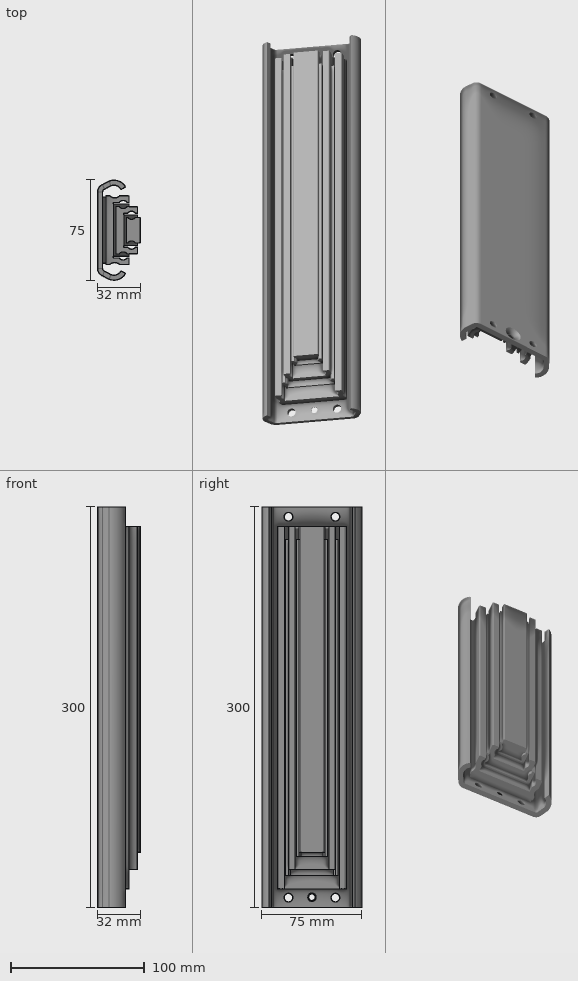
import cadquery as cq
import math

COVER_LENGTH = 300.0
COVER_WIDTH = 75.0
SHEET = 4.0
BACK_WIDTH = 57.3
BEND_RADIUS = 6.0
LIP_RADIUS = 10.0
LIP_CENTER_X = 12.3
BACK_NORMAL = 180.0
SHOULDER_NORMAL = 112.0
LIP_END_ANGLE = 28.0

CORNER_HOLE_DIAMETER = 6.3
CORNER_HOLE_SPACING = 35.0
CORNER_HOLE_END_DISTANCE = 7.5
SCREW_HOLE_DIAMETER = 4.8
SCREW_HOLE_HEIGHT = 7.8
COUNTERSINK_DIAMETER = 13.2
COUNTERSINK_FLOOR_DIAMETER = 6.3
COUNTERSINK_DEPTH = (COUNTERSINK_DIAMETER - COUNTERSINK_FLOOR_DIAMETER) / 2

RAIL_TOP = 285.3
OUTER_BACK, OUTER_FRONT = 6.3, 23.7
OUTER_WIDTH = 51.5
OUTER_BOTTOM = 14.0
MIDDLE_BACK, MIDDLE_FRONT = 13.8, 30.0
MIDDLE_WIDTH = 35.5
MIDDLE_BOTTOM = 28.5
INNER_BACK, INNER_FRONT = 21.5, 32.0
INNER_WIDTH = 19.2
INNER_BOTTOM = 41.5
RAIL_FILLET = 1.0

SPACER_WIDTH = 49.8

CAGE_WALL = 1.95
CAGE_GAP = 1.05
CAGE_RECESS = 10.0

BALL_GROOVE_RADIUS = 3.5
BALL_GROOVE_DEPTH = 1.5
BALL_GROOVE_SETBACK = 4.5
SIDE_GROOVE_RADIUS = 5.5
SIDE_GROOVE_DEPTH = 1.5
SIDE_GROOVE_X = 13.0


def polar(center, radius, degrees):
    angle = math.radians(degrees)
    return (center[0] + radius * math.cos(angle), center[1] + radius * math.sin(angle))


def curved_strip(center, outer_radius, start, end):
    """Sheet curved around a center, from one angle to another."""
    inner_radius = outer_radius - SHEET
    middle = (start + end) / 2
    return (
        cq.Workplane("XY")
        .moveTo(*polar(center, outer_radius, start))
        .threePointArc(polar(center, outer_radius, middle), polar(center, outer_radius, end))
        .lineTo(*polar(center, inner_radius, end))
        .threePointArc(polar(center, inner_radius, middle), polar(center, inner_radius, start))
        .close()
        .extrude(COVER_LENGTH)
    )


def cover_edge():
    """Bend, shoulder and lip along the +Y side, joined with their seams kept."""
    bend_center = (BEND_RADIUS, BACK_WIDTH / 2)
    lip_center = (LIP_CENTER_X, COVER_WIDTH / 2 - LIP_RADIUS)
    bend = curved_strip(bend_center, BEND_RADIUS, BACK_NORMAL, SHOULDER_NORMAL)
    lip = curved_strip(lip_center, LIP_RADIUS, SHOULDER_NORMAL, LIP_END_ANGLE)
    shoulder = (
        cq.Workplane("XY")
        .moveTo(*polar(bend_center, BEND_RADIUS, SHOULDER_NORMAL))
        .lineTo(*polar(lip_center, LIP_RADIUS, SHOULDER_NORMAL))
        .lineTo(*polar(lip_center, LIP_RADIUS - SHEET, SHOULDER_NORMAL))
        .lineTo(*polar(bend_center, BEND_RADIUS - SHEET, SHOULDER_NORMAL))
        .close()
        .extrude(COVER_LENGTH)
    )
    return bend.union(shoulder, clean=False).union(lip, clean=False)


def corner_holes():
    y = CORNER_HOLE_SPACING / 2
    heights = (CORNER_HOLE_END_DISTANCE, COVER_LENGTH - CORNER_HOLE_END_DISTANCE)
    centers = [(side * y, z) for z in heights for side in (-1, 1)]
    return cq.Workplane("YZ").pushPoints(centers).circle(CORNER_HOLE_DIAMETER / 2).extrude(SHEET)


def screw_hole():
    """Countersunk hole, with the countersink on the back of the cover."""
    hole = cq.Workplane("YZ").center(0, SCREW_HOLE_HEIGHT).circle(SCREW_HOLE_DIAMETER / 2).extrude(SHEET)
    countersink = cq.Solid.makeCone(
        COUNTERSINK_DIAMETER / 2,
        COUNTERSINK_FLOOR_DIAMETER / 2,
        COUNTERSINK_DEPTH,
        cq.Vector(0, 0, SCREW_HOLE_HEIGHT),
        cq.Vector(1, 0, 0),
    )
    return hole.union(cq.Workplane(countersink))


def make_cover():
    back = cq.Workplane("XY").box(SHEET, BACK_WIDTH, COVER_LENGTH, centered=(False, True, False))
    edge = cover_edge()
    sheet = back.union(edge, clean=False).union(edge.mirror("XZ"), clean=False)
    return sheet.cut(corner_holes(), clean=False).cut(screw_hole(), clean=False)


def bar(back, front, width, bottom, top=RAIL_TOP):
    """Upright rectangular bar, centered on Y."""
    block = cq.Workplane("XY").box(front - back, width, top - bottom, centered=(False, True, False))
    return block.translate((back, 0, bottom))


def rod_pair(x, distance, radius):
    """Two full-height rods at -Y and +Y, the shape of a pair of grooves."""
    centers = [(x, -distance), (x, distance)]
    return cq.Workplane("XY").pushPoints(centers).circle(radius).extrude(COVER_LENGTH)


def side_ball_rods(width, channel_front):
    """Rods that sink into both sides of a rail held in a channel."""
    distance = width / 2 + BALL_GROOVE_RADIUS - BALL_GROOVE_DEPTH
    return rod_pair(channel_front - BALL_GROOVE_SETBACK, distance, BALL_GROOVE_RADIUS)


def make_rail(back, front, width, bottom, side_rods):
    """Solid rail with rounded front corners and a groove along each side."""
    return bar(back, front, width, bottom).edges("|Z and >X").fillet(RAIL_FILLET).cut(side_rods)


def cut_channel(rail, front, held_back, held_width):
    """Opens a rail to the front to hold the next rail and its cage."""
    wall_y = held_width / 2 + CAGE_WALL + CAGE_GAP
    channel = bar(held_back - CAGE_WALL, front, 2 * wall_y, 0)
    groove_distance = wall_y - BALL_GROOVE_RADIUS + BALL_GROOVE_DEPTH
    grooves = rod_pair(front - BALL_GROOVE_SETBACK, groove_distance, BALL_GROOVE_RADIUS)
    return rail.cut(channel).cut(grooves)


def make_cage(channel_front, channel_bottom, held_back, held_width):
    """Cage around a held rail, with a ridge that fills the groove on each side."""
    block = bar(
        held_back - CAGE_WALL,
        channel_front,
        held_width + 2 * CAGE_WALL,
        channel_bottom + CAGE_RECESS,
        RAIL_TOP - CAGE_RECESS,
    )
    slot = bar(held_back, channel_front, held_width, 0)
    ridges = block.intersect(side_ball_rods(held_width, channel_front))
    return block.cut(slot).union(ridges)


cover = make_cover()

spacer = bar(SHEET, OUTER_BACK, SPACER_WIDTH, OUTER_BOTTOM)

outer_side_rods = rod_pair(
    SIDE_GROOVE_X, OUTER_WIDTH / 2 + SIDE_GROOVE_RADIUS - SIDE_GROOVE_DEPTH, SIDE_GROOVE_RADIUS
)
outer_rail = make_rail(OUTER_BACK, OUTER_FRONT, OUTER_WIDTH, OUTER_BOTTOM, outer_side_rods)
outer_rail = cut_channel(outer_rail, OUTER_FRONT, MIDDLE_BACK, MIDDLE_WIDTH)

middle_side_rods = side_ball_rods(MIDDLE_WIDTH, OUTER_FRONT)
middle_rail = make_rail(MIDDLE_BACK, MIDDLE_FRONT, MIDDLE_WIDTH, MIDDLE_BOTTOM, middle_side_rods)
middle_rail = cut_channel(middle_rail, MIDDLE_FRONT, INNER_BACK, INNER_WIDTH)

inner_side_rods = side_ball_rods(INNER_WIDTH, MIDDLE_FRONT)
inner_rail = make_rail(INNER_BACK, INNER_FRONT, INNER_WIDTH, INNER_BOTTOM, inner_side_rods)

cages = [
    make_cage(OUTER_FRONT, OUTER_BOTTOM, MIDDLE_BACK, MIDDLE_WIDTH),
    make_cage(MIDDLE_FRONT, MIDDLE_BOTTOM, INNER_BACK, INNER_WIDTH),
]

result = cq.Compound.makeCompound([
    cover.solids().val(),
    spacer.val(),
    outer_rail.solids().val(),
    middle_rail.solids().val(),
    inner_rail.solids().val(),
    *[cage.solids().val() for cage in cages],
])